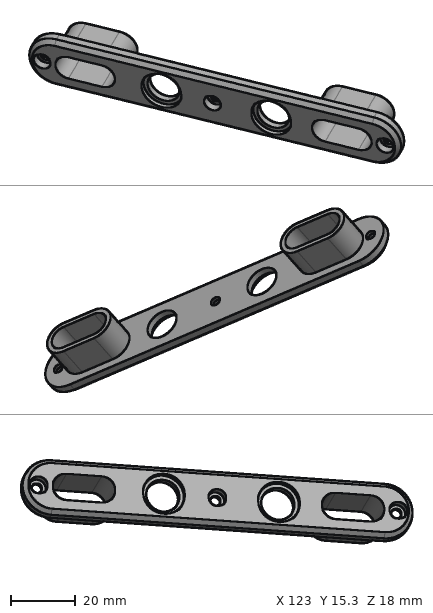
import cadquery as cq

plate_length = 123.0
plate_height = 18.0
plate_thickness = 4.2
front_chamfer = 1.5

total_depth = 15.3
boss_offset = 42.4
slot_straight = 11.1
boss_height = 12.0
slot_height = 8.6

large_hole_positions = (-17.2, 19.1)
large_hole_diameter = 10.5
large_bore_diameter = 13.2
large_bore_depth = 1.7
screw_hole_positions = (-56.7, -0.4, 56.7)
screw_hole_diameter = 3.2
screw_bore_diameter = 5.5
screw_bore_depth = 3.0


def rounded_bar(length, height, depth, x=0.0):
    """Round-ended bar running from Y = 0 to Y = depth."""
    return cq.Workplane("XZ").center(x, 0).slot2D(length, height).extrude(-depth)


def counterbored_cutter(x, hole_diameter, bore_diameter, bore_depth):
    """Through hole with a wider bore sunk from the front face."""
    hole = cq.Workplane("XZ").center(x, 0).circle(hole_diameter / 2).extrude(-plate_thickness)
    bore = cq.Workplane("XZ").center(x, 0).circle(bore_diameter / 2).extrude(-bore_depth)
    return hole.union(bore)


plate = rounded_bar(plate_length, plate_height, plate_thickness)
result = plate.faces("<Y").edges().chamfer(front_chamfer)

for boss_x in (-boss_offset, boss_offset):
    boss = rounded_bar(slot_straight + boss_height, boss_height, total_depth, boss_x)
    slot = rounded_bar(slot_straight + slot_height, slot_height, total_depth, boss_x)
    result = result.union(boss).cut(slot)

for hole_x in large_hole_positions:
    result = result.cut(
        counterbored_cutter(hole_x, large_hole_diameter, large_bore_diameter, large_bore_depth)
    )

for hole_x in screw_hole_positions:
    result = result.cut(
        counterbored_cutter(hole_x, screw_hole_diameter, screw_bore_diameter, screw_bore_depth)
    )